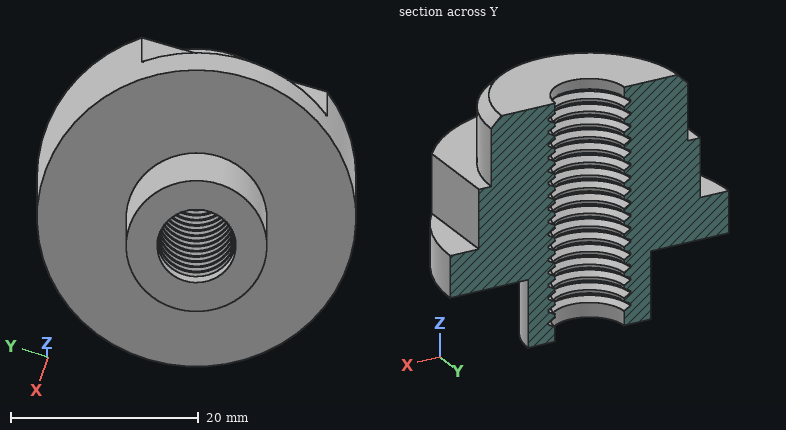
import cadquery as cq
import math

spigot_diameter = 15.0
spigot_height = 8.0
flange_diameter = 34.0
flange_height = 12.0
boss_diameter = 24.0
total_height = 28.0
boss_chamfer = 1.25
boss_height = total_height - spigot_height - flange_height

across_flats = 27.0
flat_ledge_height = 5.0

bore_diameter = 8.35
thread_pitch = 1.5
groove_count = 17
top_land = 1.22
flank_angle = math.radians(30)
groove_mouth = 3 / 4 * thread_pitch
groove_root = thread_pitch / 8
groove_depth = (groove_mouth - groove_root) / 2 / math.tan(flank_angle)

flange_top = spigot_height + flange_height


def cylinder(diameter, height, base_z):
    return cq.Workplane("XY", origin=(0, 0, base_z)).circle(diameter / 2).extrude(height)


def flange_with_flats():
    flange = cylinder(flange_diameter, flange_height, spigot_height)
    upper_height = flange_height - flat_ledge_height
    ledge_z = spigot_height + flat_ledge_height
    flat_depth = (flange_diameter - across_flats) / 2
    for side in (-1, 1):
        cutter = (
            cq.Workplane("XY", origin=(side * (across_flats + flat_depth) / 2, 0, ledge_z))
            .rect(flat_depth, flange_diameter)
            .extrude(upper_height)
        )
        flange = flange.cut(cutter)
    return flange


def threaded_bore():
    """Bore with its thread grooves, as one revolved solid to cut away."""
    bore_radius = bore_diameter / 2
    root_radius = bore_radius + groove_depth
    profile = cq.Workplane("XZ").moveTo(0, total_height).lineTo(bore_radius, total_height)
    for index in range(groove_count):
        center_z = total_height - top_land - groove_mouth / 2 - index * thread_pitch
        profile = (
            profile.lineTo(bore_radius, center_z + groove_mouth / 2)
            .lineTo(root_radius, center_z + groove_root / 2)
            .lineTo(root_radius, center_z - groove_root / 2)
            .lineTo(bore_radius, center_z - groove_mouth / 2)
        )
    profile = profile.lineTo(bore_radius, 0).lineTo(0, 0).close()
    return profile.revolve(360, (0, 0, 0), (0, 1, 0))


spigot = cylinder(spigot_diameter, spigot_height, 0)
boss = cylinder(boss_diameter, boss_height, flange_top).faces(">Z").chamfer(boss_chamfer)

result = spigot.union(flange_with_flats()).union(boss).cut(threaded_bore())